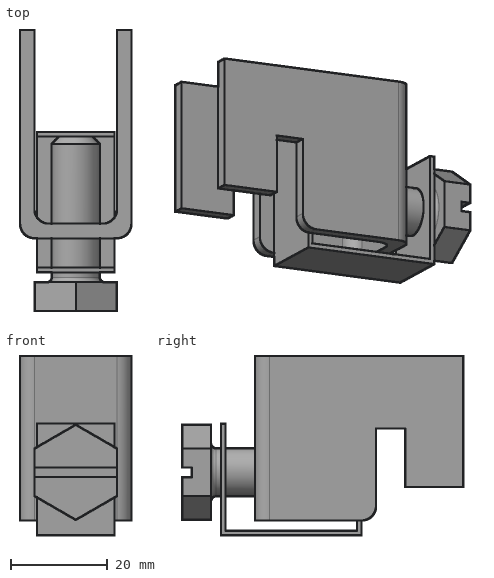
import cadquery as cq

screw_diameter = 10.0
screw_axis_height = 10.0

bracket_width = 23.0
bracket_length = 43.0
bracket_height = 34.0
bracket_wall = 3.0
bend_radius = 3.0
notch_roof_height = bracket_height - 15.0
notch_front = 25.0
notch_back = 31.0
hook_bottom_height = 6.9
cheek_corner_radius = 3.0

strip_width = 16.0
strip_thickness = 1.0
strip_front = -7.0
strip_length = 29.0
strip_bottom = bracket_height - 37.0
front_tab_height = 23.0
back_tab_height = 30.0
strip_back = strip_front + strip_length

overall_length = 58.0
head_front = bracket_length - overall_length
head_thickness = 6.0
head_across_flats = 17.0
head_underside = head_front + head_thickness
slot_width = 2.0
slot_depth = 2.0
neck_fillet = 1.0
tip_chamfer = 1.5
screw_tip = strip_back - strip_thickness


def box_between(x_size, y_min, y_max, z_min, z_max):
    """Box centred on X = 0 between the given Y and Z limits."""
    return cq.Workplane("XY").box(x_size, y_max - y_min, z_max - z_min, centered=(True, False, False)).translate(
        (0, y_min, z_min)
    )


def screw_cylinder(y_min, y_max):
    """Cylinder of the screw diameter on the screw axis."""
    return (
        cq.Workplane("XZ", origin=(0, y_min, screw_axis_height))
        .circle(screw_diameter / 2)
        .extrude(y_min - y_max)
    )


def make_bracket():
    """U-shaped channel with hooked cheeks and a hole for the screw in its web."""
    outer = box_between(bracket_width, 0, bracket_length, 0, bracket_height)
    outer = outer.edges("|Z and <Y").fillet(bend_radius)
    inner_width = bracket_width - 2 * bracket_wall
    inner = box_between(inner_width, bracket_wall, bracket_length, 0, bracket_height)
    inner = inner.edges("|Z and <Y").fillet(bend_radius)

    side_profile = (
        cq.Workplane("YZ", origin=(-bracket_width / 2, 0, 0))
        .moveTo(0, 0)
        .lineTo(notch_front - cheek_corner_radius, 0)
        .radiusArc((notch_front, cheek_corner_radius), -cheek_corner_radius)
        .lineTo(notch_front, notch_roof_height)
        .lineTo(notch_back, notch_roof_height)
        .lineTo(notch_back, hook_bottom_height)
        .lineTo(bracket_length, hook_bottom_height)
        .lineTo(bracket_length, bracket_height)
        .lineTo(0, bracket_height)
        .close()
        .extrude(bracket_width)
    )
    return outer.cut(inner).intersect(side_profile).cut(screw_cylinder(0, bracket_wall))


def make_strip():
    """Sheet strip with a pierced front tab and a taller back tab behind the screw tip."""
    base = box_between(strip_width, strip_front, strip_back, strip_bottom, strip_bottom + strip_thickness)
    front_inner_face = strip_front + strip_thickness
    front_tab = box_between(
        strip_width, strip_front, front_inner_face, strip_bottom, strip_bottom + front_tab_height
    )
    back_tab = box_between(strip_width, screw_tip, strip_back, strip_bottom, strip_bottom + back_tab_height)
    screw_hole = screw_cylinder(strip_front, front_inner_face)
    return base.union(front_tab).union(back_tab).cut(screw_hole)


def make_screw():
    """Hexagon screw with a straight driver slot, a filleted neck and a chamfered tip."""
    corners = 6
    head = (
        cq.Workplane("XZ", origin=(0, head_front, screw_axis_height))
        .polygon(corners, head_across_flats, circumscribed=True)
        .extrude(-head_thickness)
    )
    slot = box_between(
        head_across_flats,
        head_front,
        head_front + slot_depth,
        screw_axis_height - slot_width / 2,
        screw_axis_height + slot_width / 2,
    )
    shank = screw_cylinder(head_underside, screw_tip).faces(">Y").chamfer(tip_chamfer)
    screw = head.union(shank)
    neck_edge = cq.selectors.BoxSelector(
        (-screw_diameter, head_underside - neck_fillet, screw_axis_height - screw_diameter),
        (screw_diameter, head_underside + neck_fillet, screw_axis_height + screw_diameter),
    )
    screw = screw.edges("%CIRCLE").edges(neck_edge).fillet(neck_fillet)
    return screw.cut(slot)


bracket = make_bracket()
strip = make_strip()
screw = make_screw()

result = cq.Compound.makeCompound([bracket.solids().val(), strip.solids().val(), screw.solids().val()])